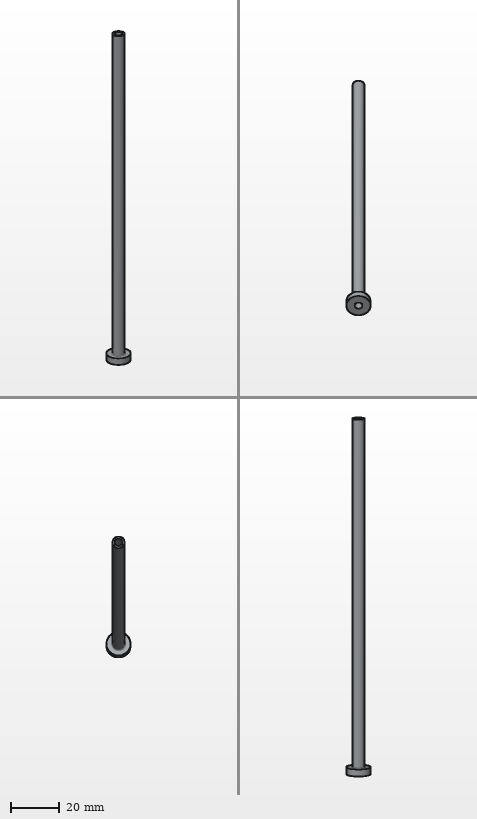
import cadquery as cq

total_length = 150.0
head_diameter = 10.0
head_height = 3.0
tube_diameter = head_diameter / 2
bore_diameter = 3.2
neck_fillet = 0.3


def make_head():
    """Flat round head with its underside at Z = 0."""
    return cq.Workplane("XY").circle(head_diameter / 2).extrude(head_height)


def make_tube():
    """Long round shank running from the base to the tip."""
    return cq.Workplane("XY").circle(tube_diameter / 2).extrude(total_length)


def make_bore():
    """Straight hole through the whole length."""
    return cq.Workplane("XY").circle(bore_diameter / 2).extrude(total_length)


def round_neck(body):
    """Fillet the inside corner between the shank and the head."""
    ledge = body.faces(cq.selectors.NearestToPointSelector((0, 0, head_height)))
    neck_edge = cq.selectors.RadiusNthSelector(0)
    return ledge.edges(neck_edge).fillet(neck_fillet)


sleeve = round_neck(make_head().union(make_tube()))
result = sleeve.cut(make_bore())